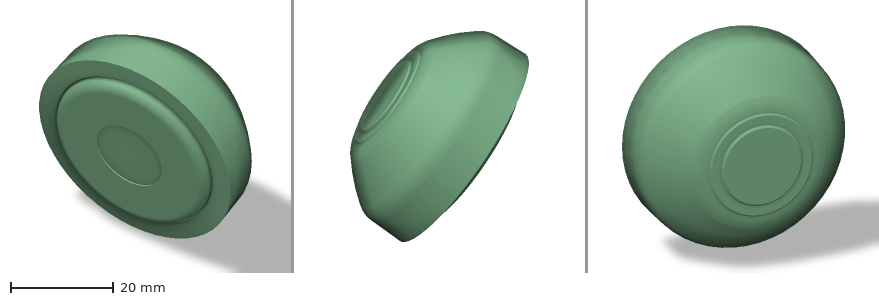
import cadquery as cq
import math


base_y = 2.0
rim_end_y = 9.0
shoulder_end_y = 11.75
dome_end_y = 18.9
rear_face_y = 20.0
tier_split_y = 20.35
rear_end_y = 20.8

base_radius = 22.0
rim_end_radius = 21.8
shoulder_end_radius = 20.8
dome_end_radius = 14.05
rear_face_radius = 10.9
edge_round_radius = 5.0
dome_bulge_radius = 39.6

pad_radius = 17.5
pad_round = base_y
seat_mouth_radius = 18.0
seat_floor_radius = 17.7
seat_depth = seat_mouth_radius - seat_floor_radius
pocket_radius = 7.5
pocket_depth = 0.3

lower_tier_top_radius = rear_face_radius - (tier_split_y - rear_face_y)
upper_tier_base_radius = 8.55
upper_tier_top_radius = upper_tier_base_radius - (rear_end_y - tier_split_y)


def revolve_about_y(profile):
    """Turn a closed profile, drawn as (radius, y), a full turn about the Y axis."""
    return profile.close().revolve(360, (0, 0, 0), (0, 1, 0))


def bulge_point(start, end, arc_radius):
    """Middle point of an arc from start to end that bulges outward, to the rear and away from Y."""
    dx = end[0] - start[0]
    dy = end[1] - start[1]
    chord = math.hypot(dx, dy)
    rise = arc_radius - math.sqrt(arc_radius**2 - (chord / 2) ** 2)
    mid_x = (start[0] + end[0]) / 2
    mid_y = (start[1] + end[1]) / 2
    return (mid_x + rise * dy / chord, mid_y - rise * dx / chord)


def make_housing():
    """Solid dome with a tapered rim and a shallow seat for the pad in its front face."""
    rim_end = (rim_end_radius, rim_end_y)
    shoulder_end = (shoulder_end_radius, shoulder_end_y)
    dome_end = (dome_end_radius, dome_end_y)
    rear_edge = (rear_face_radius, rear_face_y)
    seat_y = base_y + seat_depth
    profile = (
        cq.Workplane("XY")
        .moveTo(0, seat_y)
        .lineTo(seat_floor_radius, seat_y)
        .lineTo(seat_mouth_radius, base_y)
        .lineTo(base_radius, base_y)
        .lineTo(*rim_end)
        .threePointArc(bulge_point(rim_end, shoulder_end, edge_round_radius), shoulder_end)
        .threePointArc(bulge_point(shoulder_end, dome_end, dome_bulge_radius), dome_end)
        .threePointArc(bulge_point(dome_end, rear_edge, edge_round_radius), rear_edge)
        .lineTo(0, rear_face_y)
    )
    return revolve_about_y(profile)


def make_pad():
    """Disc with a rounded front edge and a shallow round pocket, resting on the seat floor."""
    pad_flat_radius = pad_radius - pad_round
    round_mid = (
        pad_flat_radius + pad_round * math.sin(math.pi / 4),
        pad_round * (1 - math.cos(math.pi / 4)),
    )
    profile = (
        cq.Workplane("XY")
        .moveTo(0, pocket_depth)
        .lineTo(pocket_radius, pocket_depth)
        .lineTo(pocket_radius, 0)
        .lineTo(pad_flat_radius, 0)
        .threePointArc(round_mid, (pad_radius, pad_round))
        .lineTo(pad_radius, base_y + seat_depth)
        .lineTo(0, base_y + seat_depth)
    )
    return revolve_about_y(profile)


def make_rear_cap():
    """Two-tier disc with tapered edges, resting on the rear face of the housing."""
    profile = (
        cq.Workplane("XY")
        .moveTo(0, rear_face_y)
        .lineTo(rear_face_radius, rear_face_y)
        .lineTo(lower_tier_top_radius, tier_split_y)
        .lineTo(upper_tier_base_radius, tier_split_y)
        .lineTo(upper_tier_top_radius, rear_end_y)
        .lineTo(0, rear_end_y)
    )
    return revolve_about_y(profile)


housing = make_housing()
pad = make_pad()
rear_cap = make_rear_cap()

result = cq.Compound.makeCompound([housing.val(), pad.val(), rear_cap.val()])